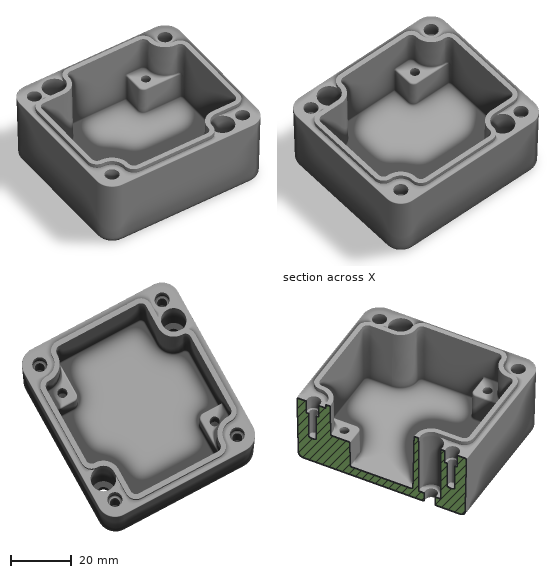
import cadquery as cq
import math

length_x = 57.9
length_y = 63.9
total_height = 27.4
lip_height = 1.55
body_height = total_height - lip_height
draft_angle = 1.0
corner_radius = 6.0
base_fillet = 2.0
rim_fillet = 0.2

lip_half_x = 26.9
lip_half_y = 29.95
lip_corner_radius = 3.7
lip_width = 1.7

screw_x = 23.0
screw_y = 26.0
screw_diameter = 3.3
screw_depth = 15.35
screw_bore_diameter = 5.0
screw_bore_depth = 5.1
screw_step_radius = 4.85
drill_point_angle = 118.0

mount_x = screw_x
mount_y = 18.0
mount_diameter = 4.5
mount_bore_diameter = 8.45
mount_step_radius = 4.1

floor_thickness = 3.85
floor_fillet = 0.5
pad_height = 10.75
pad_top = floor_thickness + pad_height
pad_edge_x = 15.8
pad_edge_y = 11.9
pad_corner_radius = 2.0
pad_edge_fillet = 0.5
pad_wall_fillet = 0.45
pad_hole_x = 19.8
pad_hole_y = 16.2
pad_hole_diameter = 3.3
pad_hole_depth = 7.65


def turned(solid):
    """Copy turned half way round the vertical axis."""
    return solid.rotate((0, 0, 0), (0, 0, 1), 180)


def lip_outline(inset, z):
    """Stepped outline at height z, moved inwards by inset all round."""
    x = lip_half_x - inset
    y = lip_half_y - inset
    outer = lip_corner_radius - inset
    mount_arc = mount_step_radius + inset
    screw_arc = screw_step_radius + inset
    mount_step_x = mount_x - mount_arc
    mount_step_y = mount_y - mount_arc
    screw_step_x = screw_x - screw_arc
    screw_step_y = screw_y - screw_arc

    wire = cq.Workplane("XY", origin=(0, 0, z)).moveTo(-screw_step_x + outer, y)
    for side in (1, -1):
        wire = wire.lineTo(side * (mount_step_x - outer), side * y)
        wire = wire.tangentArcPoint((side * mount_step_x, side * (y - outer)), relative=False)
        wire = wire.lineTo(side * mount_step_x, side * mount_y)
        wire = wire.tangentArcPoint((side * mount_x, side * mount_step_y), relative=False)
        wire = wire.lineTo(side * (x - outer), side * mount_step_y)
        wire = wire.tangentArcPoint((side * x, side * (mount_step_y - outer)), relative=False)
        wire = wire.lineTo(side * x, -side * (screw_step_y - outer))
        wire = wire.tangentArcPoint((side * (x - outer), -side * screw_step_y), relative=False)
        wire = wire.lineTo(side * screw_x, -side * screw_step_y)
        wire = wire.tangentArcPoint((side * screw_step_x, -side * screw_y), relative=False)
        wire = wire.lineTo(side * screw_step_x, -side * (y - outer))
        wire = wire.tangentArcPoint((side * (screw_step_x - outer), -side * y), relative=False)
    return wire.close()


def body():
    """Outer block, narrowing towards the base."""
    rim_growth = 2 * rim_fillet * math.tan(math.radians(draft_angle))
    block = (
        cq.Workplane("XY", origin=(0, 0, body_height))
        .rect(length_x + rim_growth, length_y + rim_growth)
        .extrude(-body_height, taper=draft_angle)
    )
    block = block.edges("not(#Z)").fillet(corner_radius)
    block = block.faces("<Z").edges().fillet(base_fillet)
    return block.faces(">Z").edges().fillet(rim_fillet)


def pad():
    """Earthing pad block, reaching into the walls behind it."""
    size_x = lip_half_x - pad_edge_x + pad_corner_radius
    size_y = lip_half_y - pad_edge_y + pad_corner_radius
    outline = cq.Sketch().rect(size_x, size_y).vertices().fillet(pad_corner_radius)
    block = (
        cq.Workplane("XY", origin=(-pad_edge_x - size_x / 2, pad_edge_y + size_y / 2, pad_top))
        .placeSketch(outline)
        .extrude(-pad_top, taper=-draft_angle)
    )
    return block.faces(">Z").edges().fillet(pad_edge_fillet)


def cavity():
    """Drafted interior volume, rounded along the floor and where the pads meet the walls."""
    depth = total_height - floor_thickness
    space = lip_outline(lip_width, total_height).extrude(-depth, taper=draft_angle)
    space = space.cut(pad()).cut(turned(pad()))
    pad_level = cq.selectors.BoxSelector(
        (-lip_half_x, -lip_half_y, pad_top - pad_wall_fillet / 2),
        (lip_half_x, lip_half_y, pad_top + pad_wall_fillet / 2),
    )
    space = space.faces(pad_level).faces("|Z").edges().fillet(pad_wall_fillet)
    return space.faces("<Z").edges().fillet(floor_fillet)


def drilled_hole(x, y, z_top, diameter, depth):
    """Blind hole ending in a conical drill point."""
    radius = diameter / 2
    point = radius / math.tan(math.radians(drill_point_angle / 2))
    return (
        cq.Workplane("XZ")
        .polyline([(0, 0), (radius, 0), (radius, -depth), (0, -depth - point)])
        .close()
        .revolve(360, (0, 0), (0, 1))
        .translate((x, y, z_top))
    )


def bore(x, y, z_bottom, diameter):
    """Flat-bottomed bore, open upwards at the rim level."""
    return (
        cq.Workplane("XY", origin=(x, y, z_bottom))
        .circle(diameter / 2)
        .extrude(body_height - z_bottom)
    )


lip = lip_outline(0, body_height - rim_fillet).extrude(lip_height + rim_fillet)
result = body().union(lip).cut(cavity())

for x in (-screw_x, screw_x):
    for y in (-screw_y, screw_y):
        result = result.cut(drilled_hole(x, y, body_height, screw_diameter, screw_depth))
        result = result.cut(bore(x, y, body_height - screw_bore_depth, screw_bore_diameter))

for side in (1, -1):
    mount_at = (side * mount_x, side * mount_y)
    result = result.cut(bore(*mount_at, 0, mount_diameter))
    result = result.cut(bore(*mount_at, floor_thickness, mount_bore_diameter))
    pad_hole_at = (-side * pad_hole_x, side * pad_hole_y)
    result = result.cut(drilled_hole(*pad_hole_at, pad_top, pad_hole_diameter, pad_hole_depth))